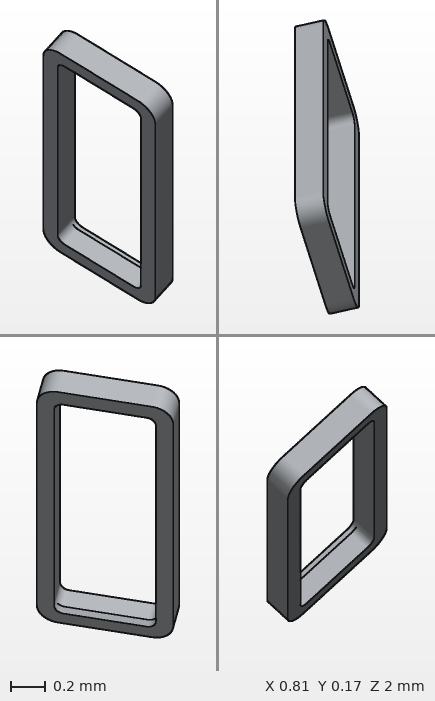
import cadquery as cq

width = 0.81
depth = 0.17
height = 2.0

wall = 0.105
outer_radius = 0.125
inner_radius = 0.055

relief_length = 0.038
relief_drop = 0.018

opening_width = width - 2 * wall
opening_height = height - 2 * wall


def rounded_bar(size_x, size_z, corner_radius):
    """Block of the ring's depth with its four Y-direction edges rounded."""
    return cq.Workplane("XY").box(size_x, depth, size_z).edges("|Y").fillet(corner_radius)


def floor_relief():
    """Opening outline sliding downward as it approaches the rear face."""
    outline = cq.Sketch().rect(opening_width, opening_height).vertices().fillet(inner_radius)
    lowered_outline = outline.moved(cq.Location(cq.Vector(0, -relief_drop, -relief_length)))
    return (
        cq.Workplane("XZ", origin=(0, depth / 2 - relief_length, 0))
        .placeSketch(outline, lowered_outline)
        .loft(ruled=True)
    )


outer_body = rounded_bar(width, height, outer_radius)
opening = rounded_bar(opening_width, opening_height, inner_radius)

result = outer_body.cut(opening).cut(floor_relief())